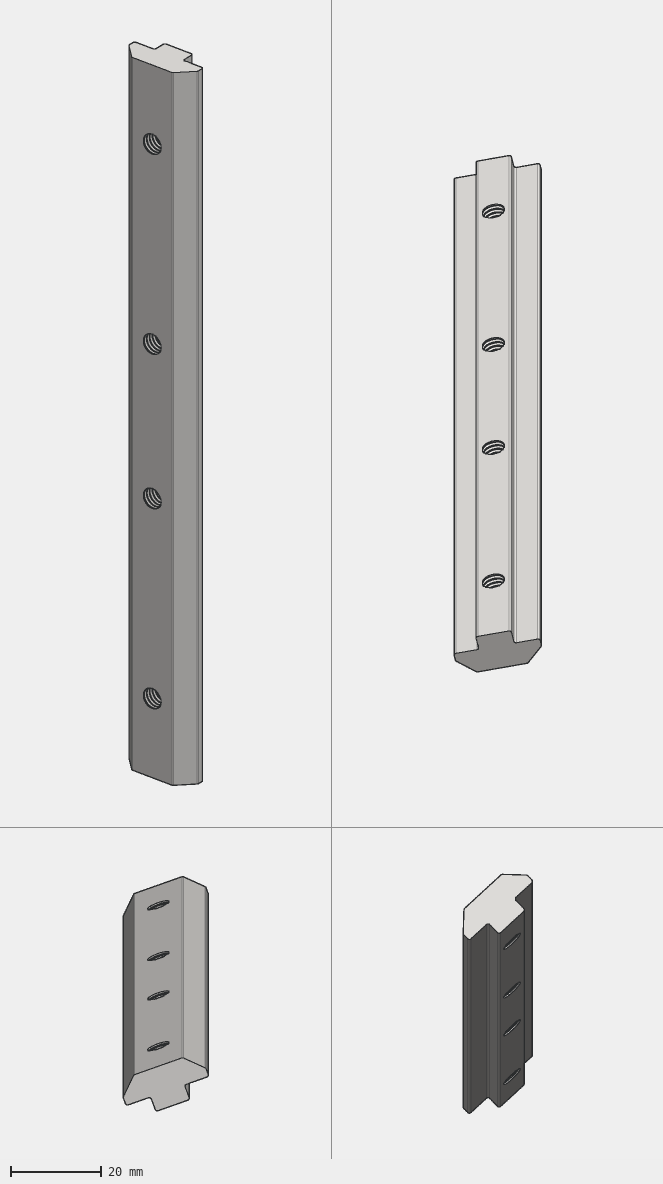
import cadquery as cq

length = 180.0
width = 19.5
depth = 9.5

tongue_width = 8.0
tongue_height = 3.5
bevel = 4.0
edge_radius = 0.5

thread_minor_diameter = 5.0
thread_major_diameter = 6.0
thread_pitch = 1.0
crest_flat = thread_pitch / 4
root_flat = thread_pitch / 8
inner_hole_offset = 19.5
outer_hole_offset = 70.0

base_y = 0.0
shoulder_y = base_y + depth - tongue_height
top_y = base_y + depth


def section_outline():
    """T-shaped section with 45 degree bevels beside the flat base."""
    half_width = width / 2
    half_tongue = tongue_width / 2
    half_base = half_width - bevel
    right_half = [
        (half_base, base_y),
        (half_width, base_y + bevel),
        (half_width, shoulder_y),
        (half_tongue, shoulder_y),
        (half_tongue, top_y),
    ]
    left_half = [(-x, y) for x, y in reversed(right_half)]
    return cq.Workplane("XY").polyline(right_half + left_half).close()


def make_rail():
    """Extrude the section and round all its lengthwise edges, inner corners included."""
    return section_outline().extrude(length).edges("|Z").fillet(edge_radius)


def thread_cutter():
    """Body of revolution about Y: a bore at minor diameter with one ring groove per pitch."""
    minor_radius = thread_minor_diameter / 2
    major_radius = thread_major_diameter / 2
    flank = (thread_pitch - crest_flat - root_flat) / 2
    groove_count = int(depth / thread_pitch)
    first_groove_y = base_y + (depth - groove_count * thread_pitch + crest_flat) / 2
    outline = cq.Workplane("XY").moveTo(0, base_y).lineTo(minor_radius, base_y)
    for index in range(groove_count):
        groove_y = first_groove_y + index * thread_pitch
        outline = outline.lineTo(minor_radius, groove_y)
        outline = outline.lineTo(major_radius, groove_y + flank)
        outline = outline.lineTo(major_radius, groove_y + flank + root_flat)
        outline = outline.lineTo(minor_radius, groove_y + 2 * flank + root_flat)
    outline = outline.lineTo(minor_radius, top_y).lineTo(0, top_y).close()
    return outline.revolve(360, (0, 0, 0), (0, 1, 0))


def cut_holes(rail):
    """Cut the row of threaded holes through the rail along Y."""
    cutter = thread_cutter()
    for offset in (-outer_hole_offset, -inner_hole_offset, inner_hole_offset, outer_hole_offset):
        rail = rail.cut(cutter.translate((0, 0, length / 2 + offset)))
    return rail


result = cut_holes(make_rail())